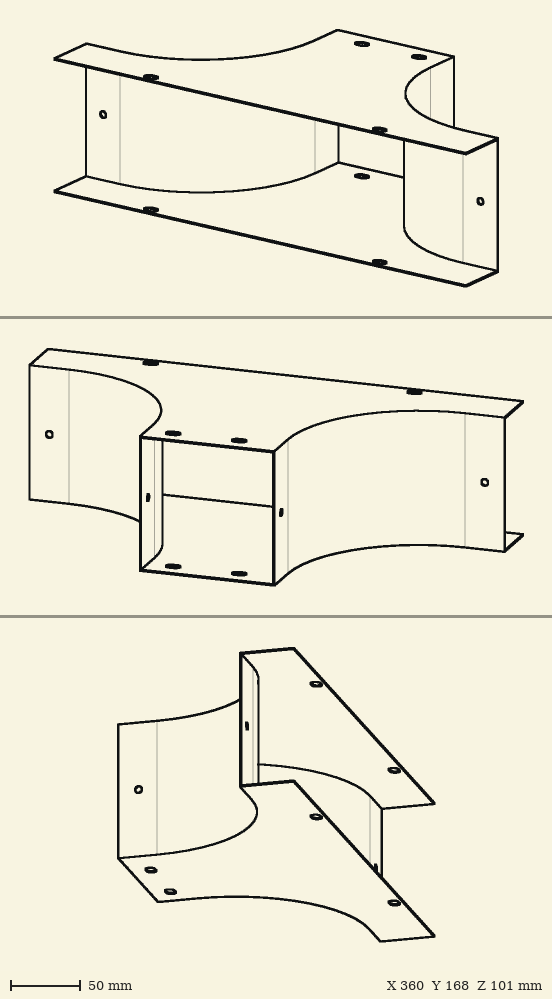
import cadquery as cq

run_length = 360.0
depth = 168.0
height = 101.0
sheet = 1.0

branch_width = 102.0
bend_radius = 99.0
branch_straight = 29.0

end_offset = 15.0
wall_hole_diameter = 5.0
slot_length = 10.5
slot_width = 7.0
branch_slot_spacing = 50.0
branch_slot_shift = 6.0
edge_slot_spacing = 200.0
edge_slot_offset = 6.5

half_run = run_length / 2
half_branch = branch_width / 2
half_height = height / 2
bend_end_x = half_branch + bend_radius
bend_end_y = depth - branch_straight
run_width = bend_end_y - bend_radius


def make_plate():
    """Tee-shaped plate with its lower face at the bottom of the part."""
    return (
        cq.Workplane("XY", origin=(0, 0, -half_height))
        .moveTo(-half_run, 0)
        .lineTo(half_run, 0)
        .lineTo(half_run, run_width)
        .lineTo(bend_end_x, run_width)
        .radiusArc((half_branch, bend_end_y), bend_radius)
        .lineTo(half_branch, depth)
        .lineTo(-half_branch, depth)
        .lineTo(-half_branch, bend_end_y)
        .radiusArc((-bend_end_x, run_width), bend_radius)
        .lineTo(-half_run, run_width)
        .close()
        .extrude(sheet)
    )


def make_right_wall():
    """Curved side wall on the +X side, from the run end to the branch end."""
    inner_radius = bend_radius + sheet
    return (
        cq.Workplane("XY", origin=(0, 0, -half_height))
        .moveTo(half_run, run_width)
        .lineTo(bend_end_x, run_width)
        .radiusArc((half_branch, bend_end_y), bend_radius)
        .lineTo(half_branch, depth)
        .lineTo(half_branch - sheet, depth)
        .lineTo(half_branch - sheet, bend_end_y)
        .radiusArc((bend_end_x, run_width - sheet), -inner_radius)
        .lineTo(half_run, run_width - sheet)
        .close()
        .extrude(height)
    )


def make_slot_cutter(spacing, x, y):
    """Pair of slots along X, passing through both plates."""
    return (
        cq.Workplane("XY", origin=(x, y, -half_height))
        .pushPoints([(-spacing / 2, 0), (spacing / 2, 0)])
        .slot2D(slot_length, slot_width)
        .extrude(height)
    )


def make_run_hole_cutter():
    """Mid-height holes through the walls beside both run ends."""
    hole_x = half_run - end_offset
    return (
        cq.Workplane("XZ")
        .pushPoints([(-hole_x, 0), (hole_x, 0)])
        .circle(wall_hole_diameter / 2)
        .extrude(-depth)
    )


def make_branch_hole_cutter():
    """Mid-height hole through both walls beside the branch end."""
    return (
        cq.Workplane("YZ")
        .center(depth - end_offset, 0)
        .circle(wall_hole_diameter / 2)
        .extrude(half_run, both=True)
    )


bottom_plate = make_plate()
top_plate = bottom_plate.translate((0, 0, height - sheet))
right_wall = make_right_wall()
left_wall = right_wall.mirror("YZ")

result = (
    bottom_plate.union(right_wall)
    .union(left_wall)
    .union(top_plate)
    .cut(make_slot_cutter(branch_slot_spacing, branch_slot_shift, depth - end_offset))
    .cut(make_slot_cutter(edge_slot_spacing, 0, edge_slot_offset))
    .cut(make_run_hole_cutter())
    .cut(make_branch_hole_cutter())
)